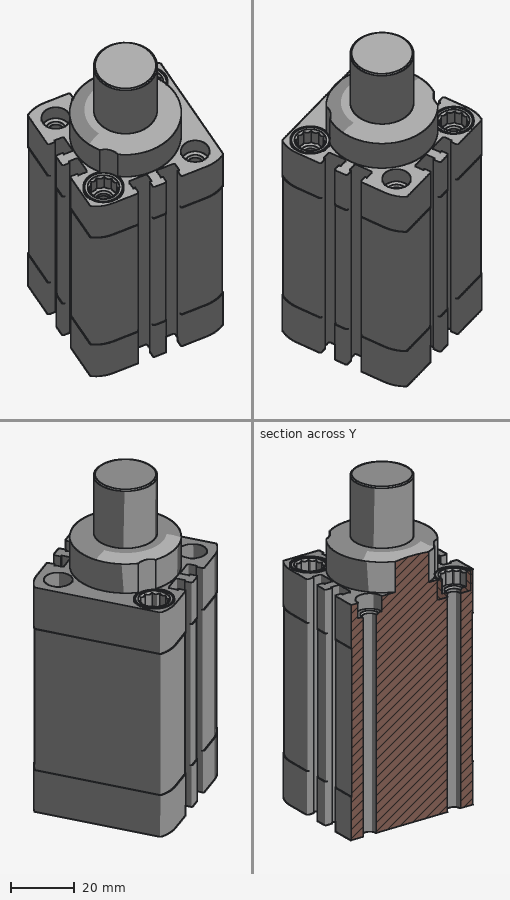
import cadquery as cq
import math

WIDTH = 47.0
TOTAL_HEIGHT = 114.0
BODY_HEIGHT = 81.0
HALF = WIDTH / 2

END_BLOCK_HEIGHT = 15.0
WAIST_INSET = 0.2
FRONT_FLAT = 41.7
SIDE_FLAT = 32.8
CORNER_X = 21.5
CORNER_Y = 23.1
CORNER_RADIUS = 12.7
NOSE_RADIUS = 0.8

GROOVE_DEPTH = 5.8
GROOVE_OFFSET = 4.9
MOUTH_WIDTH = 5.1
LIP_THICKNESS = 2.6
POCKET_WIDTH = 6.5
GROOVE_FILLET = 0.5
GROOVED_FACES = (-90, 0, 90)
EDGE_SEARCH = 0.1

COLLAR_DIAMETER = 35.0
COLLAR_TOP_DIAMETER = 25.8
COLLAR_HEIGHT = 11.9
COLLAR_TAPER_HEIGHT = 1.4
ROD_DIAMETER = 20.0
ROD_CHAMFER = 0.5

HOLE_PITCH = 32.4
BORE_DIAMETER = 4.9
BORE_MOUTH_DIAMETER = 6.2
COUNTERBORE_DIAMETER = 9.0
COUNTERBORE_DEPTH = 5.2
SCREW_DIAMETER = 12.8
SCREW_HEIGHT = 7.0
SCREW_CHAMFER = 0.5
SOCKET_DIAMETER = 8.5
SOCKET_NOTCH_DIAMETER = 9.2
SOCKET_DEPTH = 5.2
SOCKET_MOUTH_DIAMETER = 10.0
SOCKET_POINTS = 12

BORE_CHAMFER = (BORE_MOUTH_DIAMETER - BORE_DIAMETER) / 2
SCREW_SEAT = BODY_HEIGHT - SCREW_HEIGHT
HOLE_OFFSET = HOLE_PITCH / 2
SCREW_CENTERS = [(-HOLE_OFFSET, HOLE_OFFSET), (HOLE_OFFSET, -HOLE_OFFSET)]
MOUNTING_CENTERS = [(HOLE_OFFSET, HOLE_OFFSET), (-HOLE_OFFSET, -HOLE_OFFSET)]


def cylinder(diameter, bottom, height, center=(0, 0)):
    return cq.Workplane("XY", origin=(*center, bottom)).circle(diameter / 2).extrude(height)


def cone(bottom_diameter, top_diameter, bottom, height, center=(0, 0)):
    solid = cq.Solid.makeCone(bottom_diameter / 2, top_diameter / 2, height, cq.Vector(*center, bottom))
    return cq.Workplane(solid)


def block(inset, bottom, height):
    """Square block whose corners are cut back by shallow arcs, shrunk by `inset` on all sides."""
    x, y = FRONT_FLAT / 2, SIDE_FLAT / 2
    outline = (
        cq.Workplane("XY", origin=(0, 0, bottom))
        .moveTo(-x, -HALF)
        .lineTo(x, -HALF)
        .radiusArc((CORNER_X, -CORNER_Y), -NOSE_RADIUS)
        .radiusArc((HALF, -y), -CORNER_RADIUS)
        .lineTo(HALF, y)
        .radiusArc((CORNER_X, CORNER_Y), -CORNER_RADIUS)
        .radiusArc((x, HALF), -NOSE_RADIUS)
        .lineTo(-x, HALF)
        .radiusArc((-CORNER_X, CORNER_Y), -NOSE_RADIUS)
        .radiusArc((-HALF, y), -CORNER_RADIUS)
        .lineTo(-HALF, -y)
        .radiusArc((-CORNER_X, -CORNER_Y), -CORNER_RADIUS)
        .radiusArc((-x, -HALF), -NOSE_RADIUS)
        .close()
    )
    if inset > 0:
        outline = outline.offset2D(-inset)
    return outline.extrude(height)


def groove(x):
    """T-shaped groove in the front face, centred on `x`, running the full height of the body."""
    mouth = cq.Workplane("XY").center(x, -HALF + GROOVE_DEPTH / 2).rect(MOUTH_WIDTH, GROOVE_DEPTH)
    pocket_depth = GROOVE_DEPTH - LIP_THICKNESS
    pocket_y = -HALF + LIP_THICKNESS + pocket_depth / 2
    pocket = cq.Workplane("XY").center(x, pocket_y).rect(POCKET_WIDTH, pocket_depth)
    shape = mouth.extrude(BODY_HEIGHT).union(pocket.extrude(BODY_HEIGHT))
    return shape.faces(">Y").edges("|Z").fillet(GROOVE_FILLET)


def grooved_block(inset, bottom, height):
    """Block with a pair of grooves in the front and both side faces, their mouth edges rounded."""
    body = block(inset, bottom, height)
    face_y = -HALF + inset
    for angle in GROOVED_FACES:
        body = body.rotate((0, 0, 0), (0, 0, 1), -angle)
        for x in (-GROOVE_OFFSET, GROOVE_OFFSET):
            body = body.cut(groove(x))
        mouth_edges = cq.selectors.BoxSelector(
            (-GROOVE_OFFSET - MOUTH_WIDTH, face_y - EDGE_SEARCH, bottom),
            (GROOVE_OFFSET + MOUTH_WIDTH, face_y + EDGE_SEARCH, bottom + height),
        )
        body = body.edges("|Z").edges(mouth_edges).fillet(GROOVE_FILLET)
        body = body.rotate((0, 0, 0), (0, 0, 1), angle)
    return body


def add_collar(body):
    """Collar on top of the body, tapered towards the rod."""
    wall_height = COLLAR_HEIGHT - COLLAR_TAPER_HEIGHT
    taper_bottom = BODY_HEIGHT + wall_height
    wall = cylinder(COLLAR_DIAMETER, BODY_HEIGHT, wall_height)
    taper = cone(COLLAR_DIAMETER, COLLAR_TOP_DIAMETER, taper_bottom, COLLAR_TAPER_HEIGHT)
    return body.union(wall).union(taper)


def bore_mouth(floor, center):
    """Cone that breaks the upper edge of a through bore at height `floor`."""
    return cone(BORE_DIAMETER, BORE_MOUTH_DIAMETER, floor - BORE_CHAMFER, BORE_CHAMFER, center)


def cut_screw_seats(body):
    """Through bores with a screw seat; the seat continues upwards and scallops the collar."""
    for center in SCREW_CENTERS:
        body = body.cut(cylinder(BORE_DIAMETER, 0, BODY_HEIGHT, center))
        body = body.cut(cylinder(SCREW_DIAMETER, SCREW_SEAT, SCREW_HEIGHT + COLLAR_HEIGHT, center))
    return body


def cut_mounting_holes(body):
    """Counterbored through holes in the two other corners."""
    floor = BODY_HEIGHT - COUNTERBORE_DEPTH
    for center in MOUNTING_CENTERS:
        body = body.cut(cylinder(BORE_DIAMETER, 0, BODY_HEIGHT, center))
        body = body.cut(cylinder(COUNTERBORE_DIAMETER, floor, COUNTERBORE_DEPTH, center))
        body = body.cut(bore_mouth(floor, center))
    return body


def make_housing():
    """Body with its end blocks, collar and rod."""
    waist_height = BODY_HEIGHT - 2 * END_BLOCK_HEIGHT
    body = grooved_block(WAIST_INSET, END_BLOCK_HEIGHT, waist_height)
    for bottom in (0, BODY_HEIGHT - END_BLOCK_HEIGHT):
        body = body.union(grooved_block(0, bottom, END_BLOCK_HEIGHT))

    body = add_collar(body)
    body = cut_screw_seats(body)
    body = cut_mounting_holes(body)

    rod_bottom = BODY_HEIGHT + COLLAR_HEIGHT
    rod = cylinder(ROD_DIAMETER, rod_bottom, TOTAL_HEIGHT - rod_bottom)
    return body.union(rod.faces(">Z").chamfer(ROD_CHAMFER))


def socket_outline():
    """Splined outline: pointed notches with flat lands between them, evenly spaced."""
    pitch = 2 * math.pi / SOCKET_POINTS
    points = []
    for i in range(SOCKET_POINTS):
        for radius, step in (
            (SOCKET_NOTCH_DIAMETER / 2, 0),
            (SOCKET_DIAMETER / 2, 1 / 3),
            (SOCKET_DIAMETER / 2, 2 / 3),
        ):
            angle = (i + step) * pitch
            points.append((radius * math.cos(angle), radius * math.sin(angle)))
    return points


def make_screw(center):
    """Hollow screw, flush with the top of the body, with a splined socket."""
    screw = cylinder(SCREW_DIAMETER, SCREW_SEAT, SCREW_HEIGHT, center)
    screw = screw.faces(">Z").chamfer(SCREW_CHAMFER)

    floor = BODY_HEIGHT - SOCKET_DEPTH
    socket = cq.Workplane("XY", origin=(*center, floor)).polyline(socket_outline()).close()
    screw = screw.cut(socket.extrude(SOCKET_DEPTH))

    lead_in = (SOCKET_MOUTH_DIAMETER - SOCKET_DIAMETER) / 2
    screw = screw.cut(cone(SOCKET_DIAMETER, SOCKET_MOUTH_DIAMETER, BODY_HEIGHT - lead_in, lead_in, center))

    screw = screw.cut(cylinder(BORE_DIAMETER, SCREW_SEAT, SCREW_HEIGHT, center))
    return screw.cut(bore_mouth(floor, center))


housing = make_housing()
screws = [make_screw(center) for center in SCREW_CENTERS]
result = cq.Compound.makeCompound([housing.val(), *[screw.val() for screw in screws]])